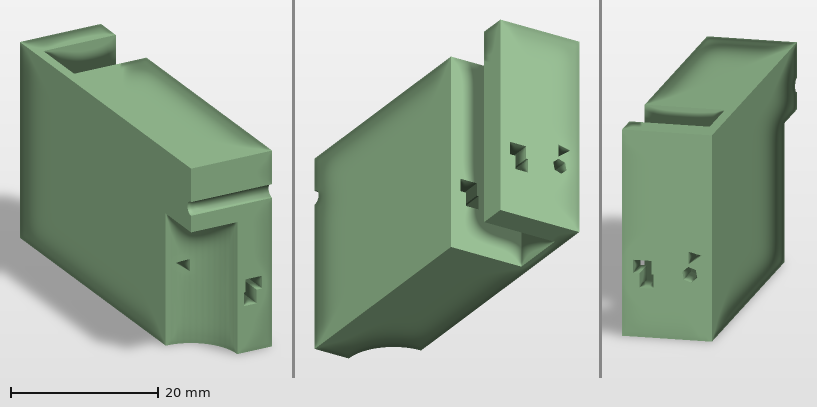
import cadquery as cq

LENGTH = 48.4
DEPTH = 12.6
HEIGHT = 29.15

SLOT_START = 4.2
SLOT_END = 12.9
SLOT_FRONT_WALL = 1.35

COVE_RADIUS = 7.15
COVE_HEIGHT = 19.65

NOTCH_RADIUS = 1.0
NOTCH_Z = 23.15

STEP_TOP_Z = 10.85
STEP_MIDDLE_Z = 8.95
STEP_BOTTOM_Z = 6.9
UPPER_STEP_Y = (8.45, 11.05)
LOWER_STEP_Y = (8.2, 10.15)

TRIANGLE_CORNERS = [(3.3, 12.5), (1.45, 12.05), (3.3, 10.7)]

HEXAGON_CENTER = (3.1, 9.25)
HEXAGON_RADIUS = 1.1
HEXAGON_TURN = 19.0
HEXAGON_DEPTH = SLOT_START


def box(x_range, y_range, z_range):
    """Box spanning the given (low, high) range on each axis."""
    lows, highs = zip(x_range, y_range, z_range)
    sizes = [high - low for low, high in zip(lows, highs)]
    return cq.Workplane("XY").box(*sizes, centered=False).translate(lows)


def slot():
    return box((SLOT_START, SLOT_END), (SLOT_FRONT_WALL, DEPTH), (0, HEIGHT))


def corner_cove():
    return cq.Workplane("XY").center(LENGTH, 0).circle(COVE_RADIUS).extrude(COVE_HEIGHT)


def end_notch():
    return cq.Workplane("XZ").center(LENGTH, NOTCH_Z).circle(NOTCH_RADIUS).extrude(-DEPTH)


def stepped_opening():
    upper = box((0, LENGTH), UPPER_STEP_Y, (STEP_MIDDLE_Z, STEP_TOP_Z))
    lower = box((0, LENGTH), LOWER_STEP_Y, (STEP_BOTTOM_Z, STEP_MIDDLE_Z))
    return upper.union(lower)


def triangular_opening():
    return cq.Workplane("YZ").polyline(TRIANGLE_CORNERS).close().extrude(LENGTH)


def hexagonal_hole():
    hexagon = cq.Workplane("YZ").polygon(6, 2 * HEXAGON_RADIUS).extrude(HEXAGON_DEPTH)
    turned = hexagon.rotate((0, 0, 0), (1, 0, 0), HEXAGON_TURN)
    return turned.translate((0, *HEXAGON_CENTER))


result = box((0, LENGTH), (0, DEPTH), (0, HEIGHT))
for cutter in (
    slot(),
    corner_cove(),
    end_notch(),
    stepped_opening(),
    triangular_opening(),
    hexagonal_hole(),
):
    result = result.cut(cutter)